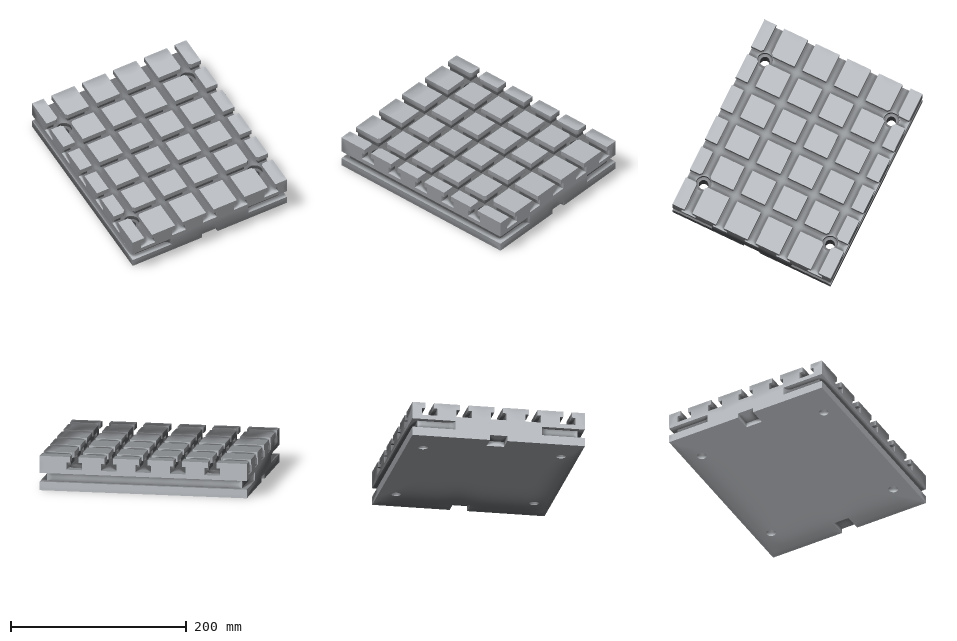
import cadquery as cq

length = 240
slot_pitch = length / 6
width = 5 * slot_pitch
height = slot_pitch

slots_each_way = 5
neck_width = 10.0
undercut_width = 18.0
slot_depth = 15.0
lip_thickness = 6.5

groove_bottom = height / 4
groove_height = 10.0
groove_depth = 7.0
groove_return = width / 4

hole_spacing = (slots_each_way - 1) * slot_pitch
hole_diameter = 11.0
counterbore_diameter = undercut_width
counterbore_depth = height / 2

keyway_length = 20.0
keyway_width = width / 10
keyway_height = 6.0


def block(size_x, size_y, size_z):
    """Block centred in X and Y, standing on Z = 0."""
    return cq.Workplane("XY").box(size_x, size_y, size_z, centered=(True, True, False))


def t_slot(run):
    """T-slot running along X, open at the top face of the plate."""
    undercut = block(run, undercut_width, slot_depth - lip_thickness)
    neck = block(run, neck_width, slot_depth)
    return undercut.union(neck).translate((0, 0, height - slot_depth))


def t_slot_grid():
    """All T-slots of both directions, one pitch apart."""
    slot_along_x = t_slot(length)
    slot_along_y = t_slot(width).rotate((0, 0, 0), (0, 0, 1), 90)
    grid = cq.Workplane("XY")
    for index in range(slots_each_way):
        offset = (index - (slots_each_way - 1) / 2) * slot_pitch
        grid = grid.add(slot_along_x.translate((0, offset, 0)))
        grid = grid.add(slot_along_y.translate((offset, 0, 0)))
    return grid.combine()


def side_groove(side):
    """Groove of one long side (side is -1 or 1); both returns run out in a quarter round."""
    end_x = length / 2
    wall_x = end_x - groove_depth
    outer_y = width / 2
    wall_y = outer_y - groove_depth
    return_y = outer_y - groove_return
    round_start_y = return_y + groove_depth
    groove = (
        cq.Workplane("XY")
        .moveTo(-end_x, outer_y)
        .lineTo(-end_x, return_y)
        .radiusArc((-wall_x, round_start_y), -groove_depth)
        .lineTo(-wall_x, wall_y)
        .lineTo(wall_x, wall_y)
        .lineTo(wall_x, round_start_y)
        .radiusArc((end_x, return_y), -groove_depth)
        .lineTo(end_x, outer_y)
        .close()
        .extrude(groove_height)
        .translate((0, 0, groove_bottom))
    )
    return groove if side > 0 else groove.mirror("XZ")


def mounting_holes():
    """Four through holes with counterbores sunk from the top face."""
    centres = cq.Workplane("XY").rect(hole_spacing, hole_spacing, forConstruction=True).vertices()
    holes = centres.circle(hole_diameter / 2).extrude(height)
    counterbores = centres.circle(counterbore_diameter / 2).extrude(counterbore_depth)
    return holes.union(counterbores.translate((0, 0, height - counterbore_depth)))


def end_keyway(end):
    """Keyway open to the bottom and to one X end (end is -1 or 1)."""
    keyway = block(keyway_length, keyway_width, keyway_height)
    return keyway.translate((end * (length - keyway_length) / 2, 0, 0))


plate = block(length, width, height).cut(t_slot_grid()).cut(mounting_holes())
for direction in (-1, 1):
    plate = plate.cut(side_groove(direction))
    plate = plate.cut(end_keyway(direction))

result = plate